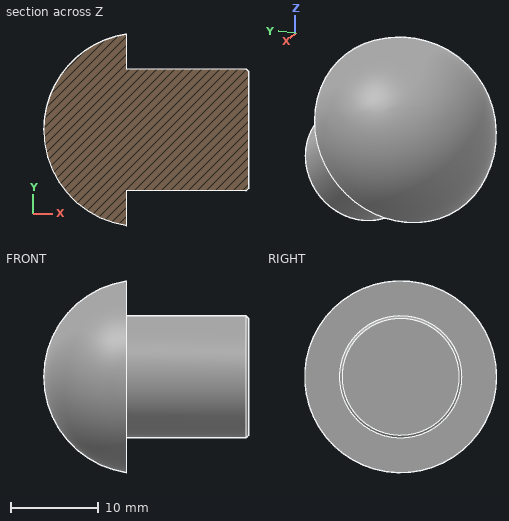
import cadquery as cq
import math

head_diameter = 22.0
head_height = 9.5
shank_diameter = 14.0
shank_length = 14.0
tip_chamfer = 0.3

head_radius = head_diameter / 2
shank_radius = shank_diameter / 2

dome_radius = (head_radius**2 + head_height**2) / (2 * head_height)
dome_center_x = dome_radius - head_height


def make_head():
    """Spherical cap with its crown toward -X and its flat seat on X = 0."""
    half_angle = math.acos(dome_center_x / dome_radius) / 2
    arc_middle = (
        dome_center_x - dome_radius * math.cos(half_angle),
        dome_radius * math.sin(half_angle),
    )
    return (
        cq.Workplane("XY")
        .moveTo(-head_height, 0)
        .threePointArc(arc_middle, (0, head_radius))
        .lineTo(0, 0)
        .close()
        .revolve(360, (0, 0, 0), (1, 0, 0))
    )


def make_shank():
    """Cylindrical shank along +X with a chamfered free end."""
    shank = cq.Workplane("YZ").circle(shank_radius).extrude(shank_length)
    return shank.faces(">X").edges().chamfer(tip_chamfer)


result = make_head().union(make_shank())